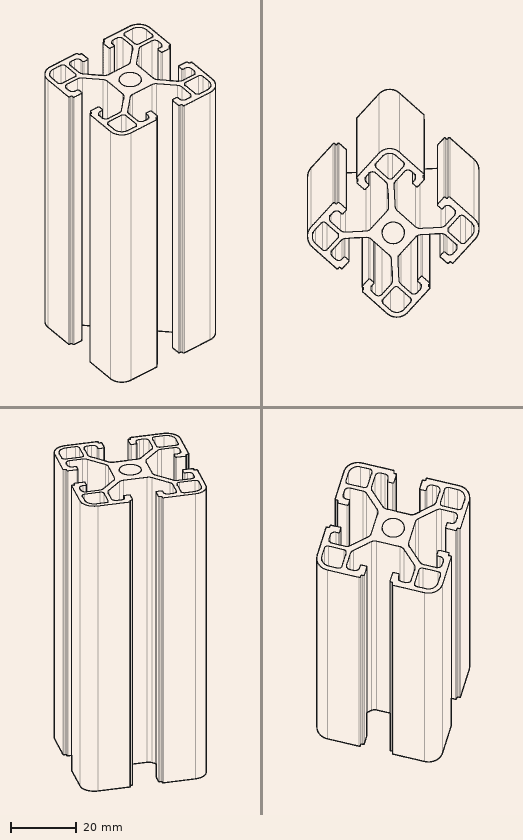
import cadquery as cq

side = 40.0
length = 100.0
corner_radius = 4.5
half_side = side / 2

core_half = 6.0
core_radius = 2.0
bore_diameter = 6.8

mouth_half_width = 4.1
step_half_width = 5.1
step_depth = 1.0
step_radius = 0.3
lip_depth = 4.5
lip_thickness = 2.1
lip_radius = 0.3
pocket_half_width = 10.3
pocket_radius = 1.4
face_thickness = 2.0

arm_half_offset = 1.4
arm_radius = 2.0

web_thickness = 1.3
wall_thickness = 1.5
box_outer_radius = corner_radius - wall_thickness
box_inner_radius = 1.0


def round_upright_edge(body, x, y, radius):
    """Fillet the vertical edge that passes through (x, y)."""
    edge = cq.selectors.NearestToPointSelector((x, y, length / 2))
    return body.edges(edge).fillet(radius)


def make_blank():
    """Solid square bar with rounded outer corners."""
    return cq.Workplane("XY").rect(side, side).extrude(length).edges("|Z").fillet(corner_radius)


def make_slot():
    """Cutter for the T-slot that opens towards +Y.

    It widens outside the bar, so that a fillet on it rounds the outer edge of the slot.
    """
    step_y = half_side - step_depth
    lip_y = half_side - lip_depth
    roof_y = half_side - face_thickness
    lip_back_x = mouth_half_width + lip_thickness
    shoulder_y = pocket_half_width + arm_half_offset
    core_corner_x = core_half - arm_half_offset
    flare_x = step_half_width + step_depth
    flare_y = half_side + step_depth

    rounded_corners = [
        (core_corner_x, core_half, core_radius),
        (pocket_half_width, shoulder_y, arm_radius),
        (pocket_half_width, roof_y, pocket_radius),
        (lip_back_x, roof_y, pocket_radius),
        (lip_back_x, lip_y, lip_radius),
        (mouth_half_width, lip_y, lip_radius),
        (mouth_half_width, step_y, lip_radius),
        (step_half_width, step_y, step_radius),
        (step_half_width, half_side, step_radius),
    ]
    right_half = [(x, y) for x, y, _ in rounded_corners]
    right_half += [(flare_x, half_side), (flare_x, flare_y)]
    left_half = [(-x, y) for x, y in reversed(right_half)]
    slot = cq.Workplane("XY").polyline(right_half + left_half).close().extrude(length)

    for x, y, radius in rounded_corners:
        slot = round_upright_edge(slot, x, y, radius)
        slot = round_upright_edge(slot, -x, y, radius)
    return slot


def make_corner_box():
    """Cutter for the hollow in the +X +Y corner."""
    near = pocket_half_width + web_thickness
    far = half_side - wall_thickness
    width = far - near
    centre = (near + far) / 2
    box = cq.Workplane("XY").center(centre, centre).rect(width, width).extrude(length)
    box = round_upright_edge(box, far, far, box_outer_radius)
    for x, y in [(near, near), (near, far), (far, near)]:
        box = round_upright_edge(box, x, y, box_inner_radius)
    return box


def make_bore():
    """Cutter for the hole through the core."""
    return cq.Workplane("XY").circle(bore_diameter / 2).extrude(length)


profile = make_blank().cut(make_bore())
slot_cutter = make_slot()
box_cutter = make_corner_box()
for angle in (0, 90, 180, 270):
    for cutter in (slot_cutter, box_cutter):
        profile = profile.cut(cutter.rotate((0, 0, 0), (0, 0, 1), angle))

result = profile